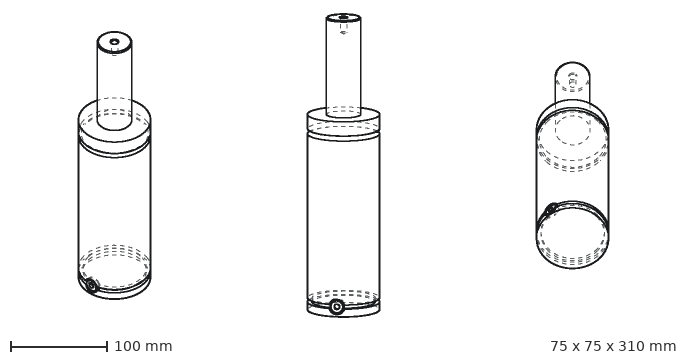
import cadquery as cq
import math

total_height = 310.0
body_diameter = 75.0
body_top = 207.0
rod_diameter = 36.0
rod_chamfer = 1.2

base_groove_bottom = 8.5
base_groove_top = 12.7
base_groove_depth = 4.5

top_groove_bottom = 186.5
top_groove_top = 192.0
top_groove_depth = 2.8

rod_hole_diameter = 6.8
rod_hole_mouth_diameter = 8.7
rod_hole_depth = 15.5
drill_point_angle = 118.0

port_diameter = 16.0
port_depth = base_groove_depth
port_height = 10.5
plug_diameter = 14.0
plug_chamfer = 0.5
plug_inset = 0.5
plug_hole_diameter = 5.5
plug_hole_depth = 3.0

body_radius = body_diameter / 2
rod_radius = rod_diameter / 2


def make_cylinder_and_rod():
    """Revolve the stepped body, including both retaining grooves."""
    base_groove_radius = body_radius - base_groove_depth
    top_groove_radius = body_radius - top_groove_depth
    top_groove_middle = (top_groove_bottom + top_groove_top) / 2
    return (
        cq.Workplane("XZ")
        .moveTo(0, 0)
        .lineTo(body_radius, 0)
        .lineTo(body_radius, base_groove_bottom)
        .lineTo(base_groove_radius, base_groove_bottom)
        .lineTo(base_groove_radius, base_groove_top)
        .lineTo(body_radius, base_groove_top)
        .lineTo(body_radius, top_groove_bottom)
        .threePointArc((top_groove_radius, top_groove_middle), (body_radius, top_groove_top))
        .lineTo(body_radius, body_top)
        .lineTo(rod_radius, body_top)
        .lineTo(rod_radius, total_height - rod_chamfer)
        .lineTo(rod_radius - rod_chamfer, total_height)
        .lineTo(0, total_height)
        .close()
        .revolve(360, (0, 0), (0, 1))
    )


def make_rod_hole():
    """Countersunk blind hole with a conical drill point."""
    hole_radius = rod_hole_diameter / 2
    mouth_radius = rod_hole_mouth_diameter / 2
    countersink_depth = mouth_radius - hole_radius
    hole_floor = total_height - rod_hole_depth
    point_length = hole_radius / math.tan(math.radians(drill_point_angle / 2))
    return (
        cq.Workplane("XZ")
        .moveTo(0, total_height)
        .lineTo(mouth_radius, total_height)
        .lineTo(hole_radius, total_height - countersink_depth)
        .lineTo(hole_radius, hole_floor)
        .lineTo(0, hole_floor - point_length)
        .close()
        .revolve(360, (0, 0), (0, 1))
    )


def port_cylinder(diameter, face_inset, depth):
    """Cylinder along Y that starts face_inset inside the -Y side of the body."""
    return (
        cq.Workplane("XZ", origin=(0, face_inset - body_radius, port_height))
        .circle(diameter / 2)
        .extrude(-depth)
    )


def add_port(part):
    """Bore the port and fit its plug, leaving a narrow ring around the plug."""
    bore = port_cylinder(port_diameter, 0, port_depth)
    plug = port_cylinder(plug_diameter, plug_inset, 2 * port_depth)
    plug = plug.faces("<Y").chamfer(plug_chamfer)
    plug_hole = port_cylinder(plug_hole_diameter, plug_inset, plug_hole_depth)
    return part.cut(bore).union(plug).cut(plug_hole)


result = add_port(make_cylinder_and_rod().cut(make_rod_hole()))